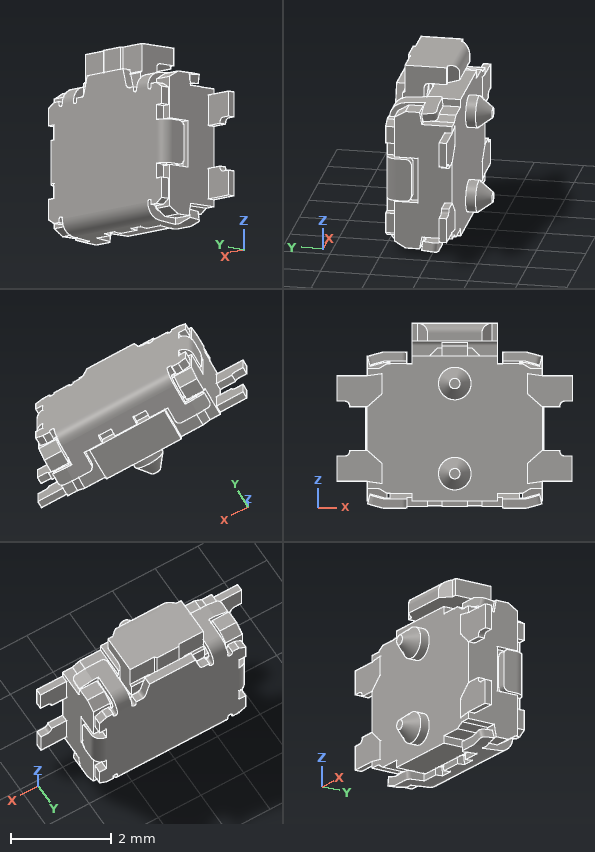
import cadquery as cq
import math


HOUSING_HALF_WIDTH = 1.745
HOUSING_BACK = 1.175
BASE_DEPTH = 0.685
BASE_HALF_HEIGHT = 1.292
SLAB_HALF_WIDTH = 0.855
SLAB_HALF_HEIGHT = 1.448
CORE_HALF_HEIGHT = 1.185
CORE_CHAMFER = 0.045
CORNER_NOTCH_HEIGHT = 1.195
CORNER_NOTCH_OUTER = 1.515
POST_INNER = 1.35
POST_FRONT = 0.615
POST_LEAN = 0.045
POST_CHAMFER_DEPTH = 0.225
POST_CHAMFER_HEIGHT = 0.135
WINDOW_HALF_HEIGHT = 0.47
WINDOW_FRONT = 0.695

PEG_SPACING = 1.795
PEG_RADIUS = 0.325
PEG_TIP_RADIUS = 0.105
PEG_SHANK = 0.2
PEG_LENGTH = 0.495

TERMINAL_THICKNESS = 0.15
TERMINAL_REACH = 2.35
SHORT_TERMINAL_REACH = 2.34
TERMINAL_TOP = 1.055
TERMINAL_BOTTOM = 0.432
TERMINAL_ROOT_X = 1.448
TERMINAL_ROOT_TOP = 1.095
TERMINAL_ROOT_BOTTOM = 0.695
TERMINAL_STEP_X = 2.095
TERMINAL_STEP_Z = 0.545
TERMINAL_STEP_RADIUS = 0.095

COVER_THICKNESS = 0.185
COVER_BACK = HOUSING_BACK + COVER_THICKNESS
COVER_HALF_WIDTH = 1.71
COVER_EDGE = 1.195
COVER_BOTTOM_DROP = 0.06
COVER_CORNER_X = 0.165
COVER_CORNER_Z = 0.1
TAB_ROOT_HALF_WIDTH = 0.655
TAB_TOP_HALF_WIDTH = 0.54
TAB_TOP = 1.605
TAB_FILLET = 0.1
RELIEF_HALF_HEIGHT = 0.743
RELIEF_X = 1.55

ARM_INNER_X = 0.955
ARM_OUTER_X = 1.292
ARM_SLOT_WIDTH = 0.1
BEND_RADIUS = 0.33
BEND_START = 1.137
ARM_TILT = 5.0
ARM_LENGTH = 0.725
FOOT_DEPTH = 0.295
FOOT_KNEE_X = 1.425
FOOT_END_X = 1.735
FOOT_DROP = 0.085
FOOT_CORNER_RADIUS = 0.095

FLAP_LENGTH = 0.33
FLAP_NOTCH_DEPTH = 0.165
FLAP_NOTCH_INNER = 0.25
FLAP_NOTCH_OUTER = 0.54

SIDE_CLIP_REACH = 1.775
SIDE_CLIP_HALF_HEIGHT = 0.44
SIDE_CLIP_FRONT = 0.822
SIDE_CLIP_BEND = 0.225
SIDE_CLIP_CORNER = 0.118

ACTUATOR_HALF_WIDTH = SLAB_HALF_WIDTH
ACTUATOR_TOP = 2.1
HOOK_UNDERSIDE = 1.745
HOOK_FRONT = 0.28
LIP_PROJECTION = 0.2
LIP_HALF_WIDTH = 0.743
NECK_FRONT = 0.74
NECK_FILLET = 0.095
BACK_STEP = 0.045
BACK_STEP_Z = 1.51
BACK_STEP_TAPER = 35
RIB_HALF_WIDTH = 0.255
CHANNEL_OUTER_X = 0.435
NECK_RELIEF_DEPTH = 0.025
NECK_GROOVE_HALF_WIDTH = 0.25
NECK_GROOVE_TOP = 1.72
NECK_RELIEF_TOP = 1.605
NECK_RELIEF_SHOULDER = 0.1


def box(x0, x1, y0, y1, z0, z1):
    return cq.Workplane("XY").box(x1 - x0, y1 - y0, z1 - z0, centered=False).translate((x0, y0, z0))


def extrude_y(outline, y0, y1):
    """Extrude a closed outline drawn in X-Z from y0 to y1."""
    return outline.extrude(y0 - y1).translate((0, y0, 0))


def extrude_x(outline, x0, x1):
    """Extrude a closed outline drawn in Y-Z from x0 to x1."""
    return outline.extrude(x1 - x0).translate((x0, 0, 0))


def both_x(body):
    return body.union(body.mirror("YZ"))


def both_z(body):
    return body.union(body.mirror("XY"))


def make_terminal(reach):
    """Upper terminal on the +X side, reaching out to x = reach."""
    outline = (
        cq.Workplane("XZ")
        .moveTo(TERMINAL_ROOT_X, TERMINAL_ROOT_BOTTOM)
        .lineTo(TERMINAL_ROOT_X, TERMINAL_ROOT_TOP)
        .lineTo(HOUSING_HALF_WIDTH, TERMINAL_TOP)
        .lineTo(reach, TERMINAL_TOP)
        .lineTo(reach, TERMINAL_STEP_Z)
        .lineTo(TERMINAL_STEP_X + TERMINAL_STEP_RADIUS, TERMINAL_STEP_Z)
        .radiusArc((TERMINAL_STEP_X, TERMINAL_STEP_Z - TERMINAL_STEP_RADIUS), -TERMINAL_STEP_RADIUS)
        .lineTo(TERMINAL_STEP_X, TERMINAL_BOTTOM)
        .lineTo(HOUSING_HALF_WIDTH, TERMINAL_BOTTOM)
        .close()
    )
    return extrude_y(outline, 0, TERMINAL_THICKNESS)


def make_terminals():
    upper_right = make_terminal(TERMINAL_REACH)
    upper_left = upper_right.mirror("YZ")
    lower_left = upper_left.mirror("XY")
    lower_right = make_terminal(SHORT_TERMINAL_REACH).mirror("XY")
    return [upper_right, upper_left, lower_left, lower_right]


def make_base():
    quarter = cq.Workplane("XZ").polyline([
        (0, 0),
        (HOUSING_HALF_WIDTH, 0),
        (HOUSING_HALF_WIDTH, CORNER_NOTCH_HEIGHT),
        (CORNER_NOTCH_OUTER, CORNER_NOTCH_HEIGHT),
        (POST_INNER, BASE_HALF_HEIGHT),
        (SLAB_HALF_WIDTH, BASE_HALF_HEIGHT),
        (SLAB_HALF_WIDTH, SLAB_HALF_HEIGHT),
        (0, SLAB_HALF_HEIGHT),
    ]).close()
    return both_z(both_x(extrude_y(quarter, 0, BASE_DEPTH)))


def make_core():
    core = box(-HOUSING_HALF_WIDTH, HOUSING_HALF_WIDTH, POST_FRONT, HOUSING_BACK,
               -CORE_HALF_HEIGHT, CORE_HALF_HEIGHT)
    return core.edges("|X and >Y").chamfer(CORE_CHAMFER)


def make_posts():
    outline = cq.Workplane("YZ").polyline([
        (POST_FRONT, 0),
        (POST_FRONT, CORNER_NOTCH_HEIGHT),
        (POST_FRONT + POST_LEAN, SLAB_HALF_HEIGHT),
        (HOUSING_BACK - POST_CHAMFER_DEPTH, SLAB_HALF_HEIGHT),
        (HOUSING_BACK, SLAB_HALF_HEIGHT - POST_CHAMFER_HEIGHT),
        (HOUSING_BACK, 0),
    ]).close()
    return both_z(both_x(extrude_x(outline, POST_INNER, HOUSING_HALF_WIDTH)))


def make_peg(z):
    profile = cq.Workplane("XY").polyline([
        (0, 0),
        (PEG_RADIUS, 0),
        (PEG_RADIUS, -PEG_SHANK),
        (PEG_TIP_RADIUS, -PEG_LENGTH),
        (0, -PEG_LENGTH),
    ]).close()
    return profile.revolve(360, (0, 0), (0, 1)).translate((0, 0, z))


def make_window():
    """Pocket for the side clip on +X, its floor chamfered at the back."""
    floor = SIDE_CLIP_REACH - COVER_THICKNESS
    outline = cq.Workplane("XY").polyline([
        (HOUSING_HALF_WIDTH, WINDOW_FRONT),
        (floor, WINDOW_FRONT),
        (floor, HOUSING_BACK - CORE_CHAMFER),
        (floor - CORE_CHAMFER, HOUSING_BACK),
        (HOUSING_HALF_WIDTH, HOUSING_BACK),
    ]).close()
    return outline.extrude(2 * WINDOW_HALF_HEIGHT).translate((0, 0, -WINDOW_HALF_HEIGHT))


def make_housing(terminals):
    housing = make_base().union(make_core()).union(make_posts())
    housing = housing.cut(both_x(make_window()))
    for z in (PEG_SPACING / 2, -PEG_SPACING / 2):
        housing = housing.union(make_peg(z))
    for terminal in terminals:
        housing = housing.cut(terminal)
    return housing


def make_plate():
    """Flat sheet with cut corners, arm openings and side reliefs."""
    bottom = COVER_EDGE + COVER_BOTTOM_DROP
    half = cq.Workplane("XZ").polyline([
        (0, -BEND_START - COVER_BOTTOM_DROP),
        (ARM_OUTER_X, -BEND_START - COVER_BOTTOM_DROP),
        (ARM_OUTER_X, -bottom),
        (COVER_HALF_WIDTH - COVER_CORNER_X, -bottom),
        (COVER_HALF_WIDTH, COVER_CORNER_Z - bottom),
        (COVER_HALF_WIDTH, -RELIEF_HALF_HEIGHT),
        (RELIEF_X, -RELIEF_HALF_HEIGHT),
        (RELIEF_X, RELIEF_HALF_HEIGHT),
        (COVER_HALF_WIDTH, RELIEF_HALF_HEIGHT),
        (COVER_HALF_WIDTH, COVER_EDGE - COVER_CORNER_Z),
        (COVER_HALF_WIDTH - COVER_CORNER_X, COVER_EDGE),
        (ARM_OUTER_X, COVER_EDGE),
        (ARM_OUTER_X, BEND_START),
        (ARM_INNER_X, BEND_START),
        (ARM_INNER_X, COVER_EDGE),
        (0, COVER_EDGE),
    ]).close()
    return both_x(extrude_y(half, HOUSING_BACK, COVER_BACK))


def make_tab():
    """Tapered tab standing behind the actuator, with filleted roots."""
    outline = cq.Workplane("XZ").polyline([
        (-ARM_INNER_X, BEND_START),
        (ARM_INNER_X, BEND_START),
        (ARM_INNER_X, COVER_EDGE),
        (TAB_ROOT_HALF_WIDTH, COVER_EDGE),
        (TAB_TOP_HALF_WIDTH, TAB_TOP),
        (-TAB_TOP_HALF_WIDTH, TAB_TOP),
        (-TAB_ROOT_HALF_WIDTH, COVER_EDGE),
        (-ARM_INNER_X, COVER_EDGE),
    ]).close()
    tab = extrude_y(outline, HOUSING_BACK, COVER_BACK)
    for x in (-TAB_ROOT_HALF_WIDTH, TAB_ROOT_HALF_WIDTH):
        middle_y = HOUSING_BACK + COVER_THICKNESS / 2
        root_corner = cq.selectors.NearestToPointSelector((x, middle_y, COVER_EDGE))
        tab = tab.edges("|Y").edges(root_corner).fillet(TAB_FILLET)
    return tab


def bend_point(radius, angle):
    """Point on the upper arm bend, as (Y, Z); angle runs from +Y toward +Z."""
    turn = math.radians(angle)
    centre_y = COVER_BACK - BEND_RADIUS
    return (centre_y + radius * math.cos(turn), BEND_START + radius * math.sin(turn))


def make_bend(x0, x1):
    """Upper bend between x0 and x1."""
    inner_radius = BEND_RADIUS - COVER_THICKNESS
    turn = 90 - ARM_TILT
    outline = (
        cq.Workplane("YZ")
        .moveTo(*bend_point(BEND_RADIUS, 0))
        .threePointArc(bend_point(BEND_RADIUS, turn / 2), bend_point(BEND_RADIUS, turn))
        .lineTo(*bend_point(inner_radius, turn))
        .threePointArc(bend_point(inner_radius, turn / 2), bend_point(inner_radius, 0))
        .close()
    )
    return extrude_x(outline, x0, x1)


def lean_from_bend(sheet):
    """Continue the upper bend with a sheet drawn flat below Z = 0 and in front of Y = 0."""
    y, z = bend_point(BEND_RADIUS, 90 - ARM_TILT)
    return sheet.rotate((0, 0, 0), (1, 0, 0), -ARM_TILT).translate((0, y, z))


def make_slot(x_centre):
    """Round-ended slot cut into the upper edge of the plate beside an arm."""
    radius = ARM_SLOT_WIDTH / 2
    outline = (
        cq.Workplane("XZ")
        .moveTo(x_centre - radius, COVER_EDGE)
        .lineTo(x_centre - radius, BEND_START)
        .threePointArc((x_centre, BEND_START - radius), (x_centre + radius, BEND_START))
        .lineTo(x_centre + radius, COVER_EDGE)
        .close()
    )
    return extrude_y(outline, HOUSING_BACK, COVER_BACK)


def make_arm_blade():
    """L-shaped end of an arm, its foot bent in, leaning outward from the bend."""
    slope = math.atan2(FOOT_DROP, FOOT_END_X - FOOT_KNEE_X)
    knee_shift = COVER_THICKNESS * math.tan(slope / 2)
    section = cq.Workplane("XZ").polyline([
        (ARM_INNER_X, 0),
        (FOOT_KNEE_X, 0),
        (FOOT_END_X, -FOOT_DROP),
        (FOOT_END_X - COVER_THICKNESS * math.sin(slope),
         -FOOT_DROP - COVER_THICKNESS * math.cos(slope)),
        (FOOT_KNEE_X - knee_shift, -COVER_THICKNESS),
        (ARM_INNER_X, -COVER_THICKNESS),
    ]).close()
    sheet = extrude_y(section, -ARM_LENGTH, 0)

    depth = FOOT_DROP + COVER_THICKNESS
    arm = box(ARM_INNER_X, ARM_OUTER_X, -ARM_LENGTH, 0, -depth, 0)
    foot = box(ARM_INNER_X, FOOT_END_X, -ARM_LENGTH, FOOT_DEPTH - ARM_LENGTH, -depth, 0)
    blade = sheet.intersect(arm.union(foot))
    blade = blade.edges("<X and <Y").fillet(FOOT_CORNER_RADIUS)
    tip_z = -FOOT_DROP - COVER_THICKNESS / 2
    foot_tip = cq.selectors.NearestToPointSelector((FOOT_END_X, -ARM_LENGTH, tip_z))
    blade = blade.edges(foot_tip).fillet(FOOT_CORNER_RADIUS)
    return lean_from_bend(blade)


def make_arm():
    """Complete upper arm on the +X side."""
    return make_bend(ARM_INNER_X, ARM_OUTER_X).union(make_arm_blade())


def to_lower_edge(body):
    """Carry a feature of the upper edge over to the lower edge."""
    return body.mirror("XY").translate((0, 0, -COVER_BOTTOM_DROP))


def make_flap():
    """Bent flap between the lower arms, its edge notched on both sides."""
    sheet = box(-ARM_INNER_X, ARM_INNER_X, -FLAP_LENGTH, 0, -COVER_THICKNESS, 0)
    notch = box(FLAP_NOTCH_INNER, FLAP_NOTCH_OUTER, -FLAP_LENGTH, FLAP_NOTCH_DEPTH - FLAP_LENGTH,
                -COVER_THICKNESS, 0)
    sheet = sheet.cut(both_x(notch))
    return to_lower_edge(make_bend(-ARM_INNER_X, ARM_INNER_X).union(lean_from_bend(sheet)))


def make_side_clip():
    """Clip on the +X side, bent forward into the housing pocket."""
    bend_inner = SIDE_CLIP_BEND - COVER_THICKNESS
    inner_x = SIDE_CLIP_REACH - COVER_THICKNESS
    root_x = SIDE_CLIP_REACH - SIDE_CLIP_BEND
    outline = (
        cq.Workplane("XY")
        .moveTo(root_x, HOUSING_BACK)
        .radiusArc((inner_x, HOUSING_BACK - bend_inner), bend_inner)
        .lineTo(inner_x, SIDE_CLIP_FRONT)
        .lineTo(SIDE_CLIP_REACH, SIDE_CLIP_FRONT)
        .lineTo(SIDE_CLIP_REACH, COVER_BACK - SIDE_CLIP_BEND)
        .radiusArc((root_x, COVER_BACK), -SIDE_CLIP_BEND)
        .close()
    )
    clip = outline.extrude(2 * SIDE_CLIP_HALF_HEIGHT).translate((0, 0, -SIDE_CLIP_HALF_HEIGHT))
    return clip.edges("|X and <Y").fillet(SIDE_CLIP_CORNER)


def make_cover():
    arm = make_arm()
    inner_slot = make_slot(ARM_INNER_X - ARM_SLOT_WIDTH / 2)
    outer_slot = make_slot(ARM_OUTER_X + ARM_SLOT_WIDTH / 2)
    cover = make_plate().union(make_tab())
    for slot in (inner_slot, outer_slot, to_lower_edge(outer_slot)):
        cover = cover.cut(both_x(slot))
    cover = cover.union(both_x(arm)).union(both_x(to_lower_edge(arm)))
    return cover.union(make_flap()).union(both_x(make_side_clip()))


def make_lip():
    """Rounded nose of the hook, tapering at 45 degrees toward the front."""
    lip_tip = HOOK_FRONT - LIP_PROJECTION
    side = (
        cq.Workplane("YZ")
        .moveTo(HOOK_FRONT, HOOK_UNDERSIDE)
        .lineTo(lip_tip, HOOK_UNDERSIDE)
        .lineTo(lip_tip, ACTUATOR_TOP - LIP_PROJECTION)
        .radiusArc((HOOK_FRONT, ACTUATOR_TOP), LIP_PROJECTION)
        .close()
    )
    plan = cq.Workplane("XY").polyline([
        (-LIP_HALF_WIDTH, HOOK_FRONT),
        (LIP_HALF_WIDTH, HOOK_FRONT),
        (LIP_HALF_WIDTH - LIP_PROJECTION, lip_tip),
        (LIP_PROJECTION - LIP_HALF_WIDTH, lip_tip),
    ]).close()
    return extrude_x(side, -LIP_HALF_WIDTH, LIP_HALF_WIDTH).intersect(plan.extrude(ACTUATOR_TOP))


def make_back_reliefs():
    """Shallow reliefs either side of the back rib, each with a channel running down beside the rib."""
    top = ACTUATOR_TOP + BACK_STEP
    bottom = CORE_HALF_HEIGHT - BACK_STEP
    side = ACTUATOR_HALF_WIDTH + BACK_STEP
    outline = cq.Workplane("XZ", origin=(0, HOUSING_BACK, 0)).polyline([
        (RIB_HALF_WIDTH, top),
        (RIB_HALF_WIDTH, bottom),
        (CHANNEL_OUTER_X, bottom),
        (CHANNEL_OUTER_X, BACK_STEP_Z),
        (side, BACK_STEP_Z),
        (side, top),
    ]).close()
    return both_x(outline.extrude(BACK_STEP, taper=BACK_STEP_TAPER))


def make_neck_reliefs():
    """Stepped grooves in the front of the neck."""
    groove = box(-NECK_GROOVE_HALF_WIDTH, NECK_GROOVE_HALF_WIDTH,
                 NECK_FRONT, NECK_FRONT + 2 * NECK_RELIEF_DEPTH, CORE_HALF_HEIGHT, NECK_GROOVE_TOP)
    shoulder = NECK_GROOVE_HALF_WIDTH + NECK_RELIEF_SHOULDER
    foot = shoulder + NECK_RELIEF_TOP - CORE_HALF_HEIGHT
    outline = cq.Workplane("XZ").polyline([
        (-foot, CORE_HALF_HEIGHT),
        (foot, CORE_HALF_HEIGHT),
        (shoulder, NECK_RELIEF_TOP),
        (-shoulder, NECK_RELIEF_TOP),
    ]).close()
    return groove.union(extrude_y(outline, NECK_FRONT, NECK_FRONT + NECK_RELIEF_DEPTH))


def make_actuator():
    outline = cq.Workplane("YZ").polyline([
        (HOUSING_BACK, CORE_HALF_HEIGHT),
        (HOUSING_BACK, ACTUATOR_TOP),
        (HOOK_FRONT, ACTUATOR_TOP),
        (HOOK_FRONT, HOOK_UNDERSIDE),
        (NECK_FRONT, HOOK_UNDERSIDE),
        (NECK_FRONT, CORE_HALF_HEIGHT),
    ]).close()
    body = extrude_x(outline, -ACTUATOR_HALF_WIDTH, ACTUATOR_HALF_WIDTH)
    inner_corner = cq.selectors.NearestToPointSelector((0, NECK_FRONT, HOOK_UNDERSIDE))
    body = body.edges("|X").edges(inner_corner).fillet(NECK_FILLET)
    body = body.union(make_lip())
    return body.cut(make_back_reliefs()).cut(make_neck_reliefs())


terminals = make_terminals()
housing = make_housing(terminals)
cover = make_cover()
actuator = make_actuator()

result = cq.Compound.makeCompound([
    housing.solids().val(),
    cover.solids().val(),
    actuator.solids().val(),
    *[terminal.val() for terminal in terminals],
])